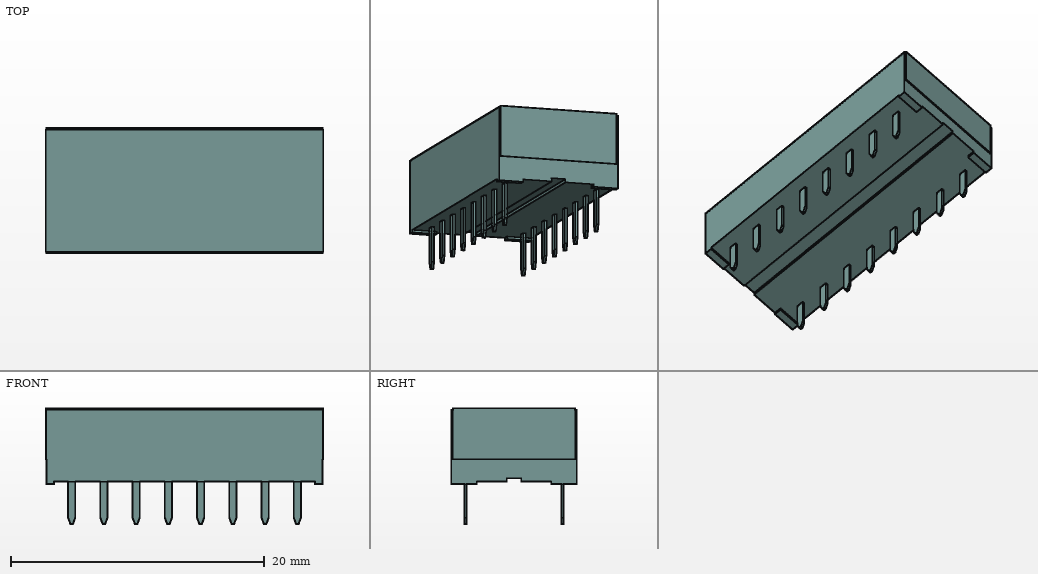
import cadquery as cq

cover_length = 21.88
cover_width = 9.63
cover_height = 4.05

housing_width = 9.9
end_step = 0.07
top_step = 0.13
base_depth = 6.0
housing_length = cover_length - 2 * end_step

foot_length = 0.61
foot_width = 2.01
foot_height = 0.2
groove_width = 1.14
groove_depth = 0.26

total_height = 9.15
pin_count = 8
pin_pitch = 2.54
row_spacing = 7.61
pin_width = 0.6
pin_thickness = 0.2
tip_width = 0.2
tip_height = 0.53

top_z = total_height
sole_z = top_z - base_depth
underside_z = sole_z + foot_height


def block(length, width, bottom_z, block_top_z):
    """Box centred on the Z axis between two levels."""
    return (
        cq.Workplane("XY", origin=(0, 0, bottom_z))
        .rect(length, width)
        .extrude(block_top_z - bottom_z)
    )


def make_body():
    """Housing joined with its cover, with a groove along the underside."""
    housing = block(housing_length, housing_width, underside_z, top_z - top_step)
    cover = block(cover_length, cover_width, top_z - cover_height, top_z)
    groove = block(housing_length, groove_width, underside_z, underside_z + groove_depth)
    return housing.union(cover).cut(groove)


def make_feet():
    """Four low pads, one flush with each bottom corner of the housing."""
    return (
        cq.Workplane("XY", origin=(0, 0, sole_z))
        .rect(housing_length - foot_length, housing_width - foot_width, forConstruction=True)
        .vertices()
        .rect(foot_length, foot_width)
        .extrude(foot_height)
    )


def make_pin(x, y):
    """Flat pin with a tapered tip, hanging from the underside."""
    return (
        cq.Workplane("XZ", origin=(x, y, 0))
        .moveTo(-tip_width / 2, 0)
        .lineTo(tip_width / 2, 0)
        .lineTo(pin_width / 2, tip_height)
        .lineTo(pin_width / 2, underside_z)
        .lineTo(-pin_width / 2, underside_z)
        .lineTo(-pin_width / 2, tip_height)
        .close()
        .extrude(pin_thickness / 2, both=True)
    )


result = make_body().union(make_feet())
for row_y in (-row_spacing / 2, row_spacing / 2):
    for index in range(pin_count):
        pin_x = (index - (pin_count - 1) / 2) * pin_pitch
        result = result.union(make_pin(pin_x, row_y))